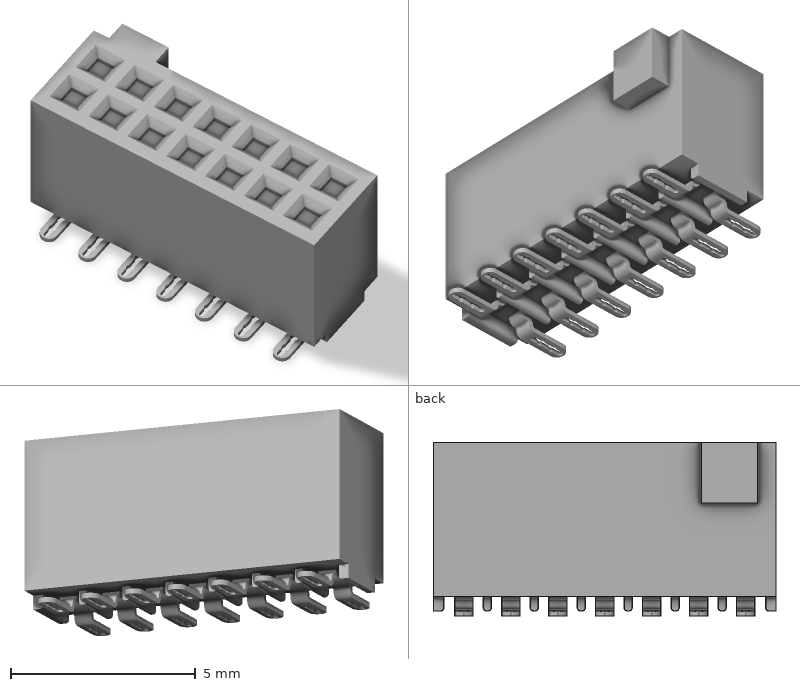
import cadquery as cq

columns = 7
rows = 2
pitch = 1.27

length = 9.27
depth = 3.04
total_height = 4.7
housing_bottom = 0.53
housing_height = total_height - housing_bottom

tab_offset = 0.5
tab_length = 1.52
tab_depth = 0.63
tab_height = 1.64

opening_size = 0.96
hole_size = 0.56
lead_in_depth = (opening_size - hole_size) / 2
hole_depth = 0.14

strip_thickness = 0.14
lead_width = 0.5
lead_overhang = 0.575
lead_tip = depth / 2 + lead_overhang
bend_inset = 0.73
bend_start = depth / 2 - bend_inset
inner_bend_radius = strip_thickness / 2
bend_radius = inner_bend_radius + strip_thickness / 2
lead_embed = 0.09
tip_rounding = 0.24

slot_width = 0.17
slot_tip_wall = 0.06
eye_diameter = 0.22
eye_from_tip = 0.42
slot_length = 1.15
eye_spacing = slot_length - 2 * (eye_from_tip - slot_tip_wall)

rib_width = 0.22
end_rib_width = 0.29
rib_span = 1.81
rib_rounding = 0.09
rib_bottom = strip_thickness
rib_height = housing_bottom - rib_bottom

column_x = [(i - (columns - 1) / 2) * pitch for i in range(columns)]
row_y = [(i - (rows - 1) / 2) * pitch for i in range(rows)]


def make_housing():
    block = cq.Workplane("XY", origin=(0, 0, housing_bottom)).box(
        length, depth, housing_height, centered=(True, True, False)
    )
    tab_corner = (tab_offset - length / 2, depth / 2, total_height - tab_height)
    tab = cq.Workplane("XY", origin=tab_corner).box(tab_length, tab_depth, tab_height, centered=False)
    return block.union(tab)


def make_opening():
    """Cutter for one contact opening, centred on the Z axis."""
    lead_in = (
        cq.Workplane("XY", origin=(0, 0, total_height))
        .rect(opening_size, opening_size)
        .workplane(offset=-lead_in_depth)
        .rect(hole_size, hole_size)
        .loft(ruled=True)
    )
    hole_floor = total_height - lead_in_depth - hole_depth
    hole = cq.Workplane("XY", origin=(0, 0, hole_floor)).box(
        hole_size, hole_size, hole_depth, centered=(True, True, False)
    )
    return lead_in.union(hole)


def make_rib(width, rounded_edges):
    """Standoff rib centred on the Z axis, with the chosen bottom edges rounded."""
    rib = cq.Workplane("XY", origin=(0, 0, rib_bottom)).box(
        width, rib_span, rib_height, centered=(True, True, False)
    )
    return rib.faces("<Z").edges(rounded_edges).fillet(rib_rounding)


def make_lead():
    """Front lead centred on X = 0: a flat foot, then three right-angle bends up into the housing."""
    centre_path = (
        cq.Workplane("YZ")
        .moveTo(-lead_tip, strip_thickness / 2)
        .lineTo(-bend_start, strip_thickness / 2)
        .tangentArcPoint((bend_radius, bend_radius))
        .tangentArcPoint((bend_radius, bend_radius))
        .tangentArcPoint((bend_radius, bend_radius))
        .line(0, lead_embed)
    )
    strip = (
        cq.Workplane("XZ", origin=(0, -lead_tip, strip_thickness / 2))
        .rect(lead_width, strip_thickness)
        .sweep(centre_path)
        .faces("<Y")
        .edges("|Z")
        .fillet(tip_rounding)
    )
    slot_middle = (0, slot_tip_wall + slot_length / 2 - lead_tip, 0)
    slot = cq.Workplane("XY", origin=slot_middle).slot2D(slot_length, slot_width, 90).extrude(strip_thickness)
    eyes = (
        cq.Workplane("XY", origin=slot_middle)
        .rarray(0.09, eye_spacing, 1, 2)
        .circle(eye_diameter / 2)
        .extrude(strip_thickness)
    )
    return strip.cut(slot).cut(eyes)


result = make_housing()

opening = make_opening()
for x in column_x:
    for y in row_y:
        result = result.cut(opening.translate((x, y, 0)))

inner_rib = make_rib(rib_width, "|Y")
for x in column_x[:-1]:
    result = result.union(inner_rib.translate((x + pitch / 2, 0, 0)))
end_rib_x = (length - end_rib_width) / 2
result = result.union(make_rib(end_rib_width, ">X").translate((-end_rib_x, 0, 0)))
result = result.union(make_rib(end_rib_width, "<X").translate((end_rib_x, 0, 0)))

front_lead = make_lead()
rear_lead = front_lead.mirror("XZ")
for x in column_x:
    result = result.union(front_lead.translate((x, 0, 0)))
    result = result.union(rear_lead.translate((x, 0, 0)))